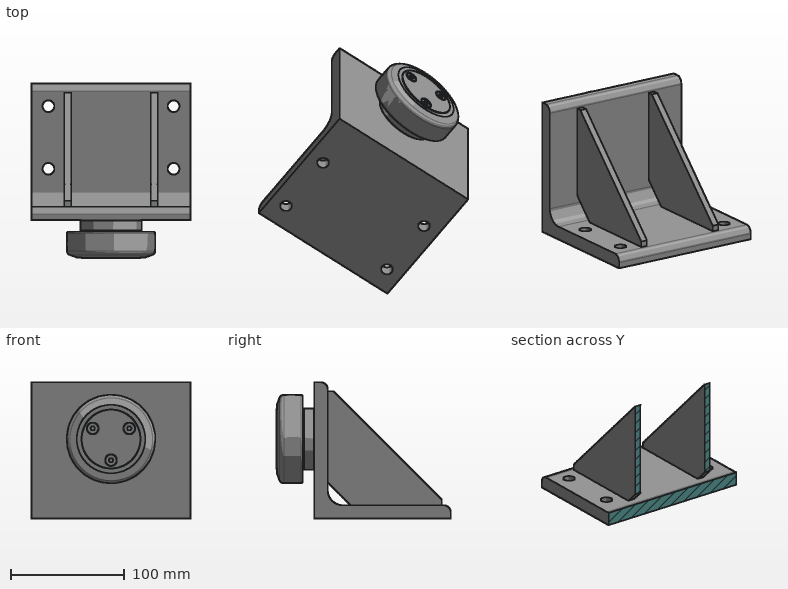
import cadquery as cq
import math

WIDTH = 140.0
LEG = 120.0
THICKNESS = 12.0
ROOT_RADIUS = 13.0
TOE_RADIUS = 6.5

RIB_THICKNESS = 6.0
RIB_INSET = 29.0
RIB_LEG = 100.1
RIB_NOSE = 5.0
RIB_RELIEF = 19.6

HOLE_DIAMETER = 10.1
HOLE_END_INSET = 15.0
HOLE_BACK_INSET = 20.0
HOLE_PITCH = 55.0

AXIS_HEIGHT = 70.0
BOSS_DIAMETER = 54.0
BOSS_CHAMFER = 0.6
BOSS_LENGTH = 9.5
NECK_DIAMETER = 52.0
ROLLER_DIAMETER = 77.7
TREAD_CROWN = 0.2
ROLLER_BACK = 10.0
ROLLER_FRONT = 32.8
ROLLER_BACK_FILLET = 1.7
SHOULDER_RADIUS = 4.0
SHOULDER_START = 26.9
FRONT_FLAT_RADIUS = 30.1
SHOULDER_ANGLE = math.radians(68)

COVER_DIAMETER = 52.0
COVER_FRONT = 33.5
COVER_CHAMFER = 0.3
SCREW_COUNT = 3
SCREW_CIRCLE_RADIUS = 18.5
COUNTERBORE_DIAMETER = 10.5
COUNTERBORE_DEPTH = 0.9
HEAD_DIAMETER = 9.8
HEAD_RECESS = 0.3
SOCKET_ACROSS_CORNERS = 4.0
SOCKET_DEPTH = 0.6


def make_angle():
    """L section with a rounded root and rounded toes, extruded across the width."""
    section = (
        cq.Workplane("YZ")
        .lineTo(LEG, 0)
        .lineTo(LEG, THICKNESS - TOE_RADIUS)
        .radiusArc((LEG - TOE_RADIUS, THICKNESS), -TOE_RADIUS)
        .lineTo(THICKNESS + ROOT_RADIUS, THICKNESS)
        .radiusArc((THICKNESS, THICKNESS + ROOT_RADIUS), ROOT_RADIUS)
        .lineTo(THICKNESS, LEG - TOE_RADIUS)
        .radiusArc((THICKNESS - TOE_RADIUS, LEG), -TOE_RADIUS)
        .lineTo(0, LEG)
        .close()
    )
    return section.extrude(WIDTH / 2, both=True)


def make_rib(x_start):
    """Triangular gusset with blunt tips and a cut inner corner."""
    inner = THICKNESS
    tip = inner + RIB_LEG
    nose = inner + RIB_NOSE
    relief = inner + RIB_RELIEF
    outline = [(relief, inner), (tip, inner), (tip, nose), (nose, tip), (inner, tip), (inner, relief)]
    return cq.Workplane("YZ").workplane(offset=x_start).polyline(outline).close().extrude(RIB_THICKNESS)


def drill_base(body):
    """Two rows of through holes in the base leg, outside the ribs."""
    hole_x = WIDTH / 2 - HOLE_END_INSET
    back_y = LEG - HOLE_BACK_INSET
    points = [(x, y) for x in (-hole_x, hole_x) for y in (back_y, back_y - HOLE_PITCH)]
    holes = cq.Workplane("XY").pushPoints(points).circle(HOLE_DIAMETER / 2).extrude(THICKNESS)
    return body.cut(holes)


def disc(diameter, start, end, points=((0, 0),)):
    """Cylinders parallel to the roller axis between two distances from the bracket face."""
    plane = cq.Workplane("XZ", origin=(0, -start, AXIS_HEIGHT))
    return plane.pushPoints(points).circle(diameter / 2).extrude(end - start)


def make_roller():
    """Revolved roller: rounded back edge, crowned tread, rounded shoulder, then a cone to the front flat."""
    radius = ROLLER_DIAMETER / 2
    arc_center = radius - SHOULDER_RADIUS
    tread_middle = -(ROLLER_BACK + ROLLER_BACK_FILLET + SHOULDER_START) / 2

    def shoulder_point(angle):
        return (
            arc_center + SHOULDER_RADIUS * math.cos(angle),
            -SHOULDER_START - SHOULDER_RADIUS * math.sin(angle),
        )

    profile = (
        cq.Workplane("XY", origin=(0, 0, AXIS_HEIGHT))
        .moveTo(0, -ROLLER_BACK)
        .lineTo(radius - ROLLER_BACK_FILLET, -ROLLER_BACK)
        .radiusArc((radius, -ROLLER_BACK - ROLLER_BACK_FILLET), ROLLER_BACK_FILLET)
        .threePointArc((radius + TREAD_CROWN, tread_middle), (radius, -SHOULDER_START))
        .threePointArc(shoulder_point(SHOULDER_ANGLE / 2), shoulder_point(SHOULDER_ANGLE))
        .lineTo(FRONT_FLAT_RADIUS, -ROLLER_FRONT)
        .lineTo(0, -ROLLER_FRONT)
        .close()
    )
    return profile.revolve(360, (0, 0, 0), (0, 1, 0))


def add_screws(body):
    """Recessed socket-head screws, one of them straight below the axis."""
    angles = [math.radians(-90 + i * 360 / SCREW_COUNT) for i in range(SCREW_COUNT)]
    points = [(SCREW_CIRCLE_RADIUS * math.cos(a), SCREW_CIRCLE_RADIUS * math.sin(a)) for a in angles]
    floor = COVER_FRONT - COUNTERBORE_DEPTH
    head_top = COVER_FRONT - HEAD_RECESS
    body = body.cut(disc(COUNTERBORE_DIAMETER, floor, COVER_FRONT, points))
    body = body.union(disc(HEAD_DIAMETER, floor, head_top, points))
    head_plane = cq.Workplane("XZ", origin=(0, -head_top, AXIS_HEIGHT))
    sockets = head_plane.pushPoints(points).polygon(6, SOCKET_ACROSS_CORNERS).extrude(-SOCKET_DEPTH)
    return body.cut(sockets)


bracket = make_angle()
rib_outer = WIDTH / 2 - RIB_INSET
for rib_x in (-rib_outer, rib_outer - RIB_THICKNESS):
    bracket = bracket.union(make_rib(rib_x))
bracket = drill_base(bracket)

boss = disc(BOSS_DIAMETER, 0, BOSS_LENGTH).edges().chamfer(BOSS_CHAMFER)
neck = disc(NECK_DIAMETER, BOSS_LENGTH, ROLLER_BACK)
cover = disc(COVER_DIAMETER, ROLLER_FRONT, COVER_FRONT).edges("<Y").chamfer(COVER_CHAMFER)
roller = add_screws(make_roller().union(cover))
result = bracket.union(boss).union(neck).union(roller)